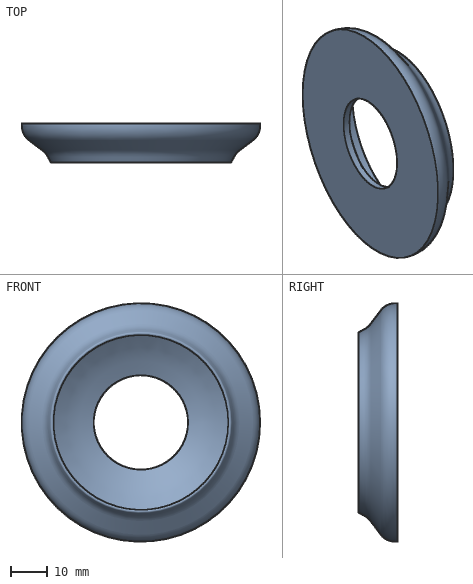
import cadquery as cq
import math

depth = 10.9
outer_radius = 33.0
rim_band = 0.7

blend_radius = 4.95
cone_angle = math.radians(53)
lip_angle = math.radians(28)
cone_length = 4.75

bore_radius = 24.15
bore_depth = 2.5
hole_radius = 13.0
hole_length = 2.0
bowl_radius = 38.3


def blend_point(start, start_angle, angle, side):
    """Point on a blend arc; side is +1 for the convex arc, -1 for the concave one."""
    radius = start[0] - side * blend_radius * (math.cos(start_angle) - math.cos(angle))
    y = start[1] - side * blend_radius * (math.sin(angle) - math.sin(start_angle))
    return radius, y


convex_start = (outer_radius, depth - rim_band)
convex_end = blend_point(convex_start, 0, cone_angle, 1)
convex_mid = blend_point(convex_start, 0, cone_angle / 2, 1)
concave_start = (
    convex_end[0] - cone_length * math.sin(cone_angle),
    convex_end[1] - cone_length * math.cos(cone_angle),
)
concave_mid = blend_point(concave_start, cone_angle, (cone_angle + lip_angle) / 2, -1)
concave_end = blend_point(concave_start, cone_angle, lip_angle, -1)

cone_foot_radius = concave_end[0] - concave_end[1] * math.tan(lip_angle)
lip_width = cone_foot_radius - bore_radius
lip_round = lip_width / (1 + math.cos(lip_angle) - (1 - math.sin(lip_angle)) * math.tan(lip_angle))
lip_centre_radius = bore_radius + lip_round
lip_start = (
    lip_centre_radius + lip_round * math.cos(lip_angle),
    lip_round * (1 - math.sin(lip_angle)),
)

bowl_back = depth - hole_length
half_chord = math.hypot(bore_radius - hole_radius, bowl_back - bore_depth) / 2
bowl_sagitta = bowl_radius - math.sqrt(bowl_radius**2 - half_chord**2)
bowl_slope = math.atan2(bowl_back - bore_depth, bore_radius - hole_radius)
bowl_mid = (
    (bore_radius + hole_radius) / 2 + bowl_sagitta * math.sin(bowl_slope),
    (bore_depth + bowl_back) / 2 + bowl_sagitta * math.cos(bowl_slope),
)

profile = (
    cq.Workplane("XY")
    .moveTo(hole_radius, depth)
    .lineTo(outer_radius, depth)
    .lineTo(*convex_start)
    .threePointArc(convex_mid, convex_end)
    .lineTo(*concave_start)
    .threePointArc(concave_mid, concave_end)
    .lineTo(*lip_start)
    .threePointArc((lip_centre_radius, 0), (bore_radius, lip_round))
    .lineTo(bore_radius, bore_depth)
    .threePointArc(bowl_mid, (hole_radius, bowl_back))
    .close()
)
result = profile.revolve(360, (0, 0, 0), (0, 1, 0))